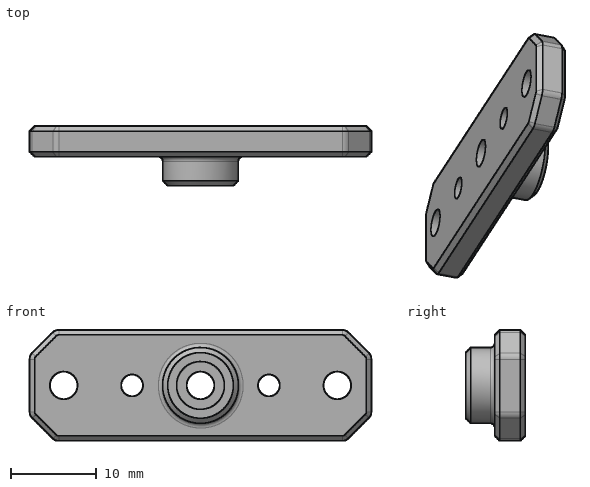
import cadquery as cq

length = 40.0
height = 13.0
thickness = 3.6
corner_cut = 3.0
corner_radius = 1.0
edge_chamfer = 0.6

total_depth = 7.0
boss_diameter = 8.9
boss_chamfer = 0.6
boss_root_fillet = 0.5

through_diameter = 3.2
bore_diameter = 5.6
bore_depth = total_depth - thickness
inner_hole_diameter = 2.5
hole_pitch = 8.0


def cylinder(diameter, depth, x=0.0):
    """Cylinder from the back face toward -Y, centred at the given X."""
    return cq.Workplane("XZ").center(x, 0).circle(diameter / 2).extrude(depth)


def make_plate():
    """Octagonal plate with softened corners and chamfered rims."""
    plate = cq.Workplane("XZ").rect(length, height).extrude(thickness)
    plate = plate.edges("|Y").chamfer(corner_cut)
    plate = plate.edges("|Y").fillet(corner_radius)
    return plate.faces("<Y or >Y").edges().chamfer(edge_chamfer)


def make_boss():
    """Round boss with a chamfered nose and a concave flare at its root."""
    radius = boss_diameter / 2
    flare_radius = radius + boss_root_fillet
    flare_end = thickness + boss_root_fillet
    section = (
        cq.Workplane("XY")
        .lineTo(flare_radius, 0)
        .lineTo(flare_radius, -thickness)
        .radiusArc((radius, -flare_end), -boss_root_fillet)
        .lineTo(radius, boss_chamfer - total_depth)
        .lineTo(radius - boss_chamfer, -total_depth)
        .lineTo(0, -total_depth)
        .close()
    )
    return section.revolve(360, (0, 0, 0), (0, 1, 0))


result = make_plate().union(make_boss())

result = result.cut(cylinder(through_diameter, total_depth))
bore = cylinder(bore_diameter, bore_depth).translate((0, bore_depth - total_depth, 0))
result = result.cut(bore)

for side in (-1, 1):
    result = result.cut(cylinder(inner_hole_diameter, thickness, side * hole_pitch))
    result = result.cut(cylinder(through_diameter, thickness, side * 2 * hole_pitch))